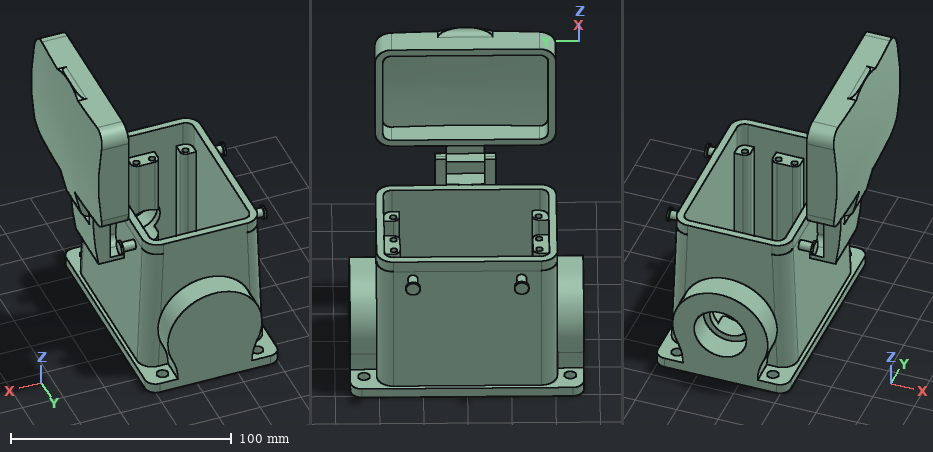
import cadquery as cq
import math

BASE_X = 64.5
BASE_Y = 106.0
BASE_HEIGHT = 5.0
BASE_CORNER_RADIUS = 5.2
MOUNT_HOLE_RADIUS = 2.7
MOUNT_HOLE_X = 23.2
MOUNT_HOLE_Y = 46.8

RIM_X = 55.8
RIM_Y = 82.0
RIM_HEIGHT = 5.5
BODY_FOOT_X = 60.7
BODY_TOP = 75.0
TAPER_TOP = BODY_TOP - RIM_HEIGHT
BODY_CORNER_RADIUS = 7.5
WALL = 3.5

BOSS_RADIUS = 23.0
BOSS_AXIS_Z = 26.5
BOSS_FLANK_RADIUS = 25.7
CABLE_BORE_RADIUS = 12.6
CABLE_HOLE_RADIUS = 9.5

POST_TOP = 62.7
POST_INNER_Y = 30.2
POST_CORNER_RADIUS = 2.8
CORNER_POST_INNER_X = 17.4
MIDDLE_POST_HALF_X = 6.7
SCREW_HOLE_RADIUS = 1.5
SCREW_HOLE_DEPTH = 14.9

PIN_RADIUS = 2.2
PIN_HEAD_RADIUS = 3.3
PIN_HEAD_THICKNESS = 1.0
PIN_TIP_X = 35.5
PIN_Y = 24.7
PIN_Z = 65.2

BRACKET_HALF_Y = 13.8
BRACKET_INNER_X = 35.4
BRACKET_OUTER_X = 43.8
BRACKET_FOOT_X = 41.1
BRACKET_BULGE_X = 43.2
BRACKET_BOTTOM = 49.5
BRACKET_TOP = 83.9
BRACKET_NOSE_DROP = 4.5
BRACKET_NOSE_FLAT = 2.2
BRACKET_FOOT_THICKNESS = 2.2
RIB_HALF_Y = 3.1
RIB_FILLET = 4.0
HINGE_HALF_Y = 8.8

LID_OPEN_X = 37.3
LID_BOTTOM = 90.2
LID_CENTRE_Z = LID_BOTTOM + RIM_X / 2
LID_TOP = LID_BOTTOM + RIM_X
CROWN_X = 53.5
CROWN_RADIUS_Z = 148.5
CROWN_RADIUS_Y = 594.1

ARM_INNER_X = 43.0
ARM_BOTTOM = 74.3
ARM_END_RADIUS = 5.2
HINGE_BAR_X = 37.1
HINGE_BAR_TOP = 81.1
TAB_HALF_Y = 12.5
TAB_TIP_Z = 148.5
TAB_ROOT_X = 46.5
TAB_HOLLOW_RADIUS = 4.0


def rounded_block(size_x, size_y, height, radius, bottom_z):
    """Upright block centred on the Z axis with rounded vertical edges."""
    block = cq.Workplane("XY", origin=(0, 0, bottom_z)).rect(size_x, size_y).extrude(height)
    return block.edges("|Z").fillet(radius)


def rounded_outline(size_x, size_y, radius):
    return cq.Sketch().rect(size_x, size_y).vertices().fillet(radius)


def box_between(x_range, y_range, z_range):
    size = [high - low for low, high in (x_range, y_range, z_range)]
    return cq.Workplane("XY").box(*size, centered=False).translate((x_range[0], y_range[0], z_range[0]))



def outer_walls():
    """Straight rim above walls whose long sides lean outwards towards the base."""
    rim = rounded_block(RIM_X, RIM_Y, RIM_HEIGHT, BODY_CORNER_RADIUS, TAPER_TOP)
    taper = (
        cq.Workplane("XZ", origin=(0, RIM_Y / 2, 0))
        .moveTo(-BODY_FOOT_X / 2, BASE_HEIGHT)
        .lineTo(BODY_FOOT_X / 2, BASE_HEIGHT)
        .lineTo(RIM_X / 2, TAPER_TOP)
        .lineTo(-RIM_X / 2, TAPER_TOP)
        .close()
        .extrude(RIM_Y)
    )
    leaning_corners = taper.faces("<Y or >Y").edges("not #Z")
    return rim.union(leaning_corners.fillet(BODY_CORNER_RADIUS))


def cavity():
    """Straight-sided room inside the walls, open at the top and closed by the base."""
    return rounded_block(
        RIM_X - 2 * WALL, RIM_Y - 2 * WALL, BODY_TOP - BASE_HEIGHT, BODY_CORNER_RADIUS - WALL, BASE_HEIGHT
    )


def mounting_base():
    corners = [(sx * MOUNT_HOLE_X, sy * MOUNT_HOLE_Y) for sx in (-1, 1) for sy in (-1, 1)]
    base = rounded_block(BASE_X, BASE_Y, BASE_HEIGHT, BASE_CORNER_RADIUS, 0)
    holes = cq.Workplane("XY").pushPoints(corners).circle(MOUNT_HOLE_RADIUS).extrude(BASE_HEIGHT)
    return base.cut(holes)


def cable_bosses():
    """Round bosses through the whole length, with hollow flanks running down onto the base."""
    rise = BOSS_AXIS_Z - BASE_HEIGHT
    centre_gap = BOSS_RADIUS + BOSS_FLANK_RADIUS
    flank_angle = math.asin(rise / centre_gap)
    tangent_x = BOSS_RADIUS * math.cos(flank_angle)
    tangent_z = BOSS_AXIS_Z - BOSS_RADIUS * math.sin(flank_angle)
    flank_centre_x = centre_gap * math.cos(flank_angle)
    foot_x = flank_centre_x - BOSS_FLANK_RADIUS
    middle_x = flank_centre_x - BOSS_FLANK_RADIUS * math.cos(flank_angle / 2)
    middle_z = BASE_HEIGHT + BOSS_FLANK_RADIUS * math.sin(flank_angle / 2)
    return (
        cq.Workplane("XZ", origin=(0, BASE_Y / 2, 0))
        .moveTo(-foot_x, BASE_HEIGHT)
        .threePointArc((-middle_x, middle_z), (-tangent_x, tangent_z))
        .threePointArc((0, BOSS_AXIS_Z + BOSS_RADIUS), (tangent_x, tangent_z))
        .threePointArc((middle_x, middle_z), (foot_x, BASE_HEIGHT))
        .close()
        .extrude(BASE_Y)
    )


def cable_entry():
    """Stepped hole through the -Y end wall and the post behind it."""
    outer_y = -BASE_Y / 2
    start = cq.Workplane("XZ", origin=(0, outer_y, 0)).center(0, BOSS_AXIS_Z)
    bore = start.circle(CABLE_BORE_RADIUS).extrude(-(BASE_Y - RIM_Y) / 2)
    hole = start.circle(CABLE_HOLE_RADIUS).extrude(-(BASE_Y / 2 - POST_INNER_Y))
    return bore.union(hole)


def screw_post(inner_edges, x_range, end, screw_xs):
    """Post against the end wall on side `end`, rounded on the chosen vertical edges."""
    y_range = sorted((end * POST_INNER_Y, end * RIM_Y / 2))
    post = box_between(x_range, y_range, (BASE_HEIGHT, POST_TOP))
    post = post.edges(inner_edges).fillet(POST_CORNER_RADIUS)
    screw_y = end * (POST_INNER_Y + POST_CORNER_RADIUS)
    holes = (
        cq.Workplane("XY", origin=(0, 0, POST_TOP))
        .pushPoints([(x, screw_y) for x in screw_xs])
        .circle(SCREW_HOLE_RADIUS)
        .extrude(-SCREW_HOLE_DEPTH)
    )
    return post.cut(holes)


def screw_posts():
    """One double post in the middle and a single post in each corner, at both ends."""
    corner_screw_x = CORNER_POST_INNER_X + POST_CORNER_RADIUS
    middle_screw_x = MIDDLE_POST_HALF_X - POST_CORNER_RADIUS
    posts = []
    for end in (-1, 1):
        inner_y = "<Y" if end > 0 else ">Y"
        middle_range = (-MIDDLE_POST_HALF_X, MIDDLE_POST_HALF_X)
        posts.append(screw_post(f"|Z and {inner_y}", middle_range, end, (-middle_screw_x, middle_screw_x)))
        for side in (-1, 1):
            inner_x = "<X" if side > 0 else ">X"
            x_range = sorted((side * CORNER_POST_INNER_X, side * BODY_FOOT_X / 2))
            edges = f"|Z and {inner_x} and {inner_y}"
            posts.append(screw_post(edges, x_range, end, (side * corner_screw_x,)))
    return posts


def latch_pin(side, y):
    """Headed pin pointing out of the long wall on side `side`."""
    wall_x = RIM_X / 2 - WALL / 2
    start = cq.Workplane("YZ").center(y, PIN_Z)
    shaft = start.workplane(offset=side * wall_x).circle(PIN_RADIUS).extrude(side * (PIN_TIP_X - wall_x))
    head = (
        start.workplane(offset=side * PIN_TIP_X)
        .circle(PIN_HEAD_RADIUS)
        .extrude(-side * PIN_HEAD_THICKNESS)
    )
    return shaft.union(head)


def bracket_plate():
    """Upright hinge plate with a foot running to the wall and a slot between two prongs."""
    wall_x = RIM_X / 2
    nose_z = BRACKET_TOP - BRACKET_NOSE_DROP
    nose_start_x = BRACKET_INNER_X + BRACKET_NOSE_FLAT
    nose_length = BRACKET_OUTER_X - nose_start_x
    nose_radius = (nose_length**2 + BRACKET_NOSE_DROP**2) / (2 * BRACKET_NOSE_DROP)
    half_angle = math.atan2(BRACKET_NOSE_DROP, nose_length)
    nose_middle_x = nose_start_x + nose_radius * math.sin(half_angle)
    nose_middle_z = BRACKET_TOP - nose_radius * (1 - math.cos(half_angle))
    plate = (
        cq.Workplane("XZ", origin=(0, BRACKET_HALF_Y, 0))
        .moveTo(wall_x, BRACKET_BOTTOM)
        .lineTo(BRACKET_FOOT_X, BRACKET_BOTTOM)
        .threePointArc((BRACKET_BULGE_X, (BRACKET_BOTTOM + nose_z) / 2), (BRACKET_OUTER_X, nose_z))
        .threePointArc((nose_middle_x, nose_middle_z), (nose_start_x, BRACKET_TOP))
        .lineTo(BRACKET_INNER_X, BRACKET_TOP)
        .lineTo(BRACKET_INNER_X, BRACKET_BOTTOM + BRACKET_FOOT_THICKNESS)
        .lineTo(wall_x, BRACKET_BOTTOM + BRACKET_FOOT_THICKNESS)
        .close()
        .extrude(2 * BRACKET_HALF_Y)
    )
    slot = box_between(
        (BRACKET_INNER_X, BRACKET_OUTER_X + WALL), (-HINGE_HALF_Y, HINGE_HALF_Y), (TAPER_TOP, BRACKET_TOP)
    )
    return plate.cut(slot)


def bracket_rib():
    """Rib between the wall and the hinge plate, with fillets along its foot."""
    floor_z = BRACKET_BOTTOM + BRACKET_FOOT_THICKNESS
    flare_y = RIB_HALF_Y + RIB_FILLET
    fillet_offset = RIB_FILLET * (1 - math.sqrt(0.5))
    fillet_y = RIB_HALF_Y + fillet_offset
    fillet_z = floor_z + fillet_offset
    return (
        cq.Workplane("YZ", origin=(RIM_X / 2, 0, 0))
        .moveTo(-RIB_HALF_Y, TAPER_TOP)
        .lineTo(-RIB_HALF_Y, floor_z + RIB_FILLET)
        .threePointArc((-fillet_y, fillet_z), (-flare_y, floor_z))
        .lineTo(flare_y, floor_z)
        .threePointArc((fillet_y, fillet_z), (RIB_HALF_Y, floor_z + RIB_FILLET))
        .lineTo(RIB_HALF_Y, TAPER_TOP)
        .close()
        .extrude(BRACKET_INNER_X - RIM_X / 2)
    )


def make_housing():
    walls = outer_walls()
    body = walls.union(cable_bosses()).union(mounting_base())
    body = body.union(bracket_plate()).union(bracket_rib())
    body = body.cut(cavity())
    for post in screw_posts():
        body = body.union(post.intersect(walls))
    for side in (-1, 1):
        for y in (-PIN_Y, PIN_Y):
            body = body.union(latch_pin(side, y))
    return body.cut(cable_entry())



def crowned_volume(inset):
    """Barrel whose +X face is the lid's doubly curved back, moved inwards by `inset`."""
    radius = CROWN_RADIUS_Z - inset
    apex_x = CROWN_X - inset
    axis_x = CROWN_X - CROWN_RADIUS_Y
    half_height = LID_CENTRE_Z - ARM_BOTTOM
    edge_x = apex_x - radius + math.sqrt(radius**2 - half_height**2)
    return (
        cq.Workplane("XZ")
        .moveTo(axis_x, LID_CENTRE_Z - half_height)
        .lineTo(edge_x, LID_CENTRE_Z - half_height)
        .threePointArc((apex_x, LID_CENTRE_Z), (edge_x, LID_CENTRE_Z + half_height))
        .lineTo(axis_x, LID_CENTRE_Z + half_height)
        .close()
        .revolve(360, (axis_x, 0, 0), (axis_x, 1, 0))
    )


def lid_block(inset):
    """Rounded block from the open face of the lid past its back, shrunk by `inset`."""
    return (
        cq.Workplane("YZ", origin=(LID_OPEN_X, 0, LID_CENTRE_Z))
        .placeSketch(rounded_outline(RIM_Y - 2 * inset, RIM_X - 2 * inset, BODY_CORNER_RADIUS - inset))
        .extrude(CROWN_X - LID_OPEN_X)
    )


def hinge_arm():
    """Arm below the lid with a bar at its lower end that lies between the bracket prongs."""
    overlap = WALL / 2
    arm = box_between(
        (ARM_INNER_X, CROWN_X), (-HINGE_HALF_Y, HINGE_HALF_Y), (ARM_BOTTOM, LID_BOTTOM + overlap)
    )
    bar = box_between(
        (HINGE_BAR_X, ARM_INNER_X), (-HINGE_HALF_Y, HINGE_HALF_Y), (ARM_BOTTOM, HINGE_BAR_TOP)
    )
    arm = arm.union(bar).intersect(crowned_volume(0))
    outer_bottom_edge = arm.faces("<Z").edges(">X")
    return outer_bottom_edge.fillet(ARM_END_RADIUS)


def thumb_tab():
    """Lip above the lid: arched outline, hollowed on the side that faces the opening."""
    overlap = WALL / 2
    rise = TAB_TIP_Z - LID_TOP
    arch_radius = (TAB_HALF_Y**2 + rise**2) / (2 * rise)
    block = box_between((TAB_ROOT_X, CROWN_X), (-TAB_HALF_Y, TAB_HALF_Y), (LID_TOP - overlap, TAB_TIP_Z))
    arch = (
        cq.Workplane("YZ", origin=(TAB_ROOT_X, 0, TAB_TIP_Z - arch_radius))
        .circle(arch_radius)
        .extrude(CROWN_X - TAB_ROOT_X)
    )
    hollow = (
        cq.Workplane("XZ", origin=(TAB_ROOT_X, TAB_HALF_Y, LID_TOP + TAB_HOLLOW_RADIUS))
        .circle(TAB_HOLLOW_RADIUS)
        .extrude(2 * TAB_HALF_Y)
    )
    return block.intersect(arch).cut(hollow).intersect(crowned_volume(0))


def make_lid():
    shell = lid_block(0).intersect(crowned_volume(0))
    recess = lid_block(WALL).intersect(crowned_volume(WALL))
    return shell.union(hinge_arm()).union(thumb_tab()).cut(recess)


housing = make_housing()
lid = make_lid()

result = cq.Compound.makeCompound([housing.val(), lid.val()])